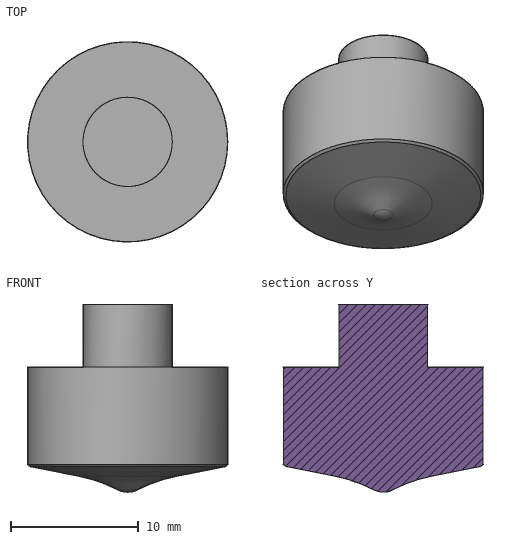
import cadquery as cq
import math

body_radius = 7.85
stem_radius = 3.5
total_height = 14.73
stem_length = 4.91
bevel_width = 0.2
bevel_height = 0.15
tip_radius = 1.65
flare_radius = 11.7
cone_angle = math.radians(11.2)
tip_angle = math.radians(27.2)

shoulder_height = total_height - stem_length


def on_circle(center, radius, slope, side):
    """Point (r, z) with this slope on the bottom (side -1) or top (side +1) of a circle."""
    return (
        center[0] - side * radius * math.sin(slope),
        center[1] + side * radius * math.cos(slope),
    )


tip_center = (0, tip_radius)
tip_middle = on_circle(tip_center, tip_radius, tip_angle / 2, -1)
tip_end = on_circle(tip_center, tip_radius, tip_angle, -1)

flare_center = (
    tip_end[0] + flare_radius * math.sin(tip_angle),
    tip_end[1] - flare_radius * math.cos(tip_angle),
)
flare_middle = on_circle(flare_center, flare_radius, (tip_angle + cone_angle) / 2, 1)
flare_end = on_circle(flare_center, flare_radius, cone_angle, 1)

rim_start_radius = body_radius - bevel_width
rim_start_height = flare_end[1] + (rim_start_radius - flare_end[0]) * math.tan(cone_angle)
rim_start = (rim_start_radius, rim_start_height)
rim_end = (body_radius, rim_start_height + bevel_height)

profile = (
    cq.Workplane("XZ")
    .moveTo(0, 0)
    .threePointArc(tip_middle, tip_end)
    .threePointArc(flare_middle, flare_end)
    .lineTo(*rim_start)
    .lineTo(*rim_end)
    .lineTo(body_radius, shoulder_height)
    .lineTo(stem_radius, shoulder_height)
    .lineTo(stem_radius, total_height)
    .lineTo(0, total_height)
    .close()
)
result = profile.revolve(360, (0, 0, 0), (0, 1, 0))